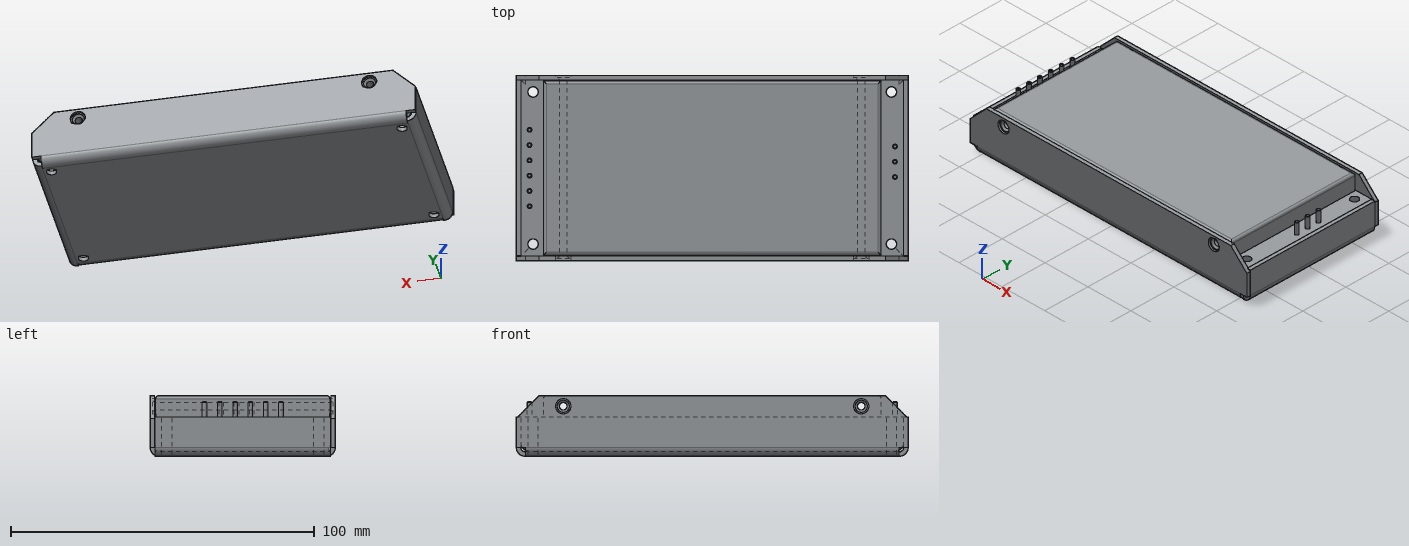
import cadquery as cq

LENGTH = 129.0
WIDTH = 61.0
HEIGHT = 20.0

SHEET = 1.5
BEND_OUTER_RADIUS = 3.0
BEND_INNER_RADIUS = BEND_OUTER_RADIUS - SHEET
END_WALL_HEIGHT = 13.0
CORNER_GAP = 0.06
SIDE_BEND_SETBACK = 3.1
SIDE_CORNER_CUT = 7.5

TOWER_LENGTH = 111.1
TOWER_WIDTH = 57.4
TOWER_EDGE_RADIUS = 1.0
MODULE_BOTTOM_RADIUS = BEND_OUTER_RADIUS
INNER_LENGTH = LENGTH - 2 * SHEET
INNER_WIDTH = WIDTH - 2 * SHEET

PIN_DIAMETER = 1.5
PIN_TIP_CHAMFER = 0.3
PIN_TOP = 18.0
PIN_PITCH = 5.0
PIN_X = 60.1
LEFT_PIN_COUNT = 6
RIGHT_PIN_COUNT = 3
RIGHT_PIN_CENTRE_Y = 2.0

MOUNT_DIAMETER = 3.4
MOUNT_SPACING_X = 117.9
MOUNT_SPACING_Y = 50.0

CROSS_SPACING_X = 98.0
CROSS_DEPTH = 3.5
CROSS_Z = HEIGHT - CROSS_DEPTH
CROSS_OPENING_DIAMETER = 5.0
CROSS_RECESS = 0.8
CROSS_DIAMETER = 2.5
CROSS_MOUTH_DIAMETER = 4.0
CROSS_CHAMFER = (CROSS_MOUTH_DIAMETER - CROSS_DIAMETER) / 2


def mounting_hole_cutters():
    return (
        cq.Workplane("XY")
        .rect(MOUNT_SPACING_X, MOUNT_SPACING_Y, forConstruction=True)
        .vertices()
        .circle(MOUNT_DIAMETER / 2)
        .extrude(HEIGHT)
    )


def cross_hole_cylinders(diameter, length):
    """Two cylinders along Y, centred on Y = 0."""
    return (
        cq.Workplane("XZ")
        .pushPoints([(-CROSS_SPACING_X / 2, CROSS_Z), (CROSS_SPACING_X / 2, CROSS_Z)])
        .circle(diameter / 2)
        .extrude(length / 2, both=True)
    )


def channel_profile(plane, span, height):
    """Closed U section of a bent sheet, centred on the vertical axis."""
    half = span / 2
    straight = half - BEND_OUTER_RADIUS
    inner = half - SHEET
    return (
        cq.Workplane(plane)
        .moveTo(-half, height)
        .lineTo(-half, BEND_OUTER_RADIUS)
        .radiusArc((-straight, 0), -BEND_OUTER_RADIUS)
        .lineTo(straight, 0)
        .radiusArc((half, BEND_OUTER_RADIUS), -BEND_OUTER_RADIUS)
        .lineTo(half, height)
        .lineTo(inner, height)
        .lineTo(inner, BEND_OUTER_RADIUS)
        .radiusArc((straight, SHEET), BEND_INNER_RADIUS)
        .lineTo(-straight, SHEET)
        .radiusArc((-inner, BEND_OUTER_RADIUS), BEND_INNER_RADIUS)
        .lineTo(-inner, height)
        .close()
    )


def side_wall_outline():
    """Region kept of the side channel: cut top corners, bends set back from the ends."""
    half = LENGTH / 2
    bend_half = half - SIDE_BEND_SETBACK
    return (
        cq.Workplane("XZ")
        .moveTo(-bend_half, 0)
        .lineTo(bend_half, 0)
        .lineTo(bend_half, BEND_OUTER_RADIUS)
        .lineTo(half, BEND_OUTER_RADIUS)
        .lineTo(half, HEIGHT - SIDE_CORNER_CUT)
        .lineTo(half - SIDE_CORNER_CUT, HEIGHT)
        .lineTo(-half + SIDE_CORNER_CUT, HEIGHT)
        .lineTo(-half, HEIGHT - SIDE_CORNER_CUT)
        .lineTo(-half, BEND_OUTER_RADIUS)
        .lineTo(-bend_half, BEND_OUTER_RADIUS)
        .close()
        .extrude(WIDTH / 2, both=True)
    )


def make_housing():
    """Sheet tray whose end walls stand between the side walls."""
    sides = channel_profile("YZ", WIDTH, HEIGHT).extrude(LENGTH / 2, both=True)
    sides = sides.intersect(side_wall_outline())
    end_length = INNER_WIDTH - 2 * CORNER_GAP
    ends = channel_profile("XZ", LENGTH, END_WALL_HEIGHT).extrude(end_length / 2, both=True)
    floor_width = WIDTH - 2 * BEND_OUTER_RADIUS
    side_bend_zone = (
        cq.Workplane("XY")
        .box(LENGTH - 2 * SIDE_BEND_SETBACK, WIDTH, SHEET, centered=(True, True, False))
        .cut(cq.Workplane("XY").box(LENGTH, floor_width, HEIGHT))
    )
    housing = sides.union(ends.cut(side_bend_zone))
    housing = housing.cut(mounting_hole_cutters())
    return housing.cut(cross_hole_cylinders(CROSS_OPENING_DIAMETER, WIDTH))


def pin_points():
    left = [
        (-PIN_X, (i - (LEFT_PIN_COUNT - 1) / 2) * PIN_PITCH) for i in range(LEFT_PIN_COUNT)
    ]
    right = [
        (PIN_X, RIGHT_PIN_CENTRE_Y + (i - (RIGHT_PIN_COUNT - 1) / 2) * PIN_PITCH)
        for i in range(RIGHT_PIN_COUNT)
    ]
    return left + right


def make_module():
    """Potted block with end shelves, raised tower, pins and cross-hole bosses."""
    base = (
        cq.Workplane("XY", origin=(0, 0, SHEET))
        .rect(INNER_LENGTH, INNER_WIDTH)
        .extrude(END_WALL_HEIGHT - SHEET)
        .edges("<Z")
        .fillet(MODULE_BOTTOM_RADIUS)
    )
    tower = (
        cq.Workplane("XY", origin=(0, 0, END_WALL_HEIGHT))
        .rect(TOWER_LENGTH, TOWER_WIDTH)
        .extrude(HEIGHT - END_WALL_HEIGHT)
        .edges(">Z")
        .fillet(TOWER_EDGE_RADIUS)
    )
    pins = (
        cq.Workplane("XY", origin=(0, 0, END_WALL_HEIGHT))
        .pushPoints(pin_points())
        .circle(PIN_DIAMETER / 2)
        .extrude(PIN_TOP - END_WALL_HEIGHT)
        .faces(">Z")
        .chamfer(PIN_TIP_CHAMFER)
    )
    bosses = cross_hole_cylinders(CROSS_OPENING_DIAMETER, WIDTH - 2 * CROSS_RECESS)
    module = base.union(tower).union(bosses).union(pins)
    module = module.cut(mounting_hole_cutters())
    module = module.cut(cross_hole_cylinders(CROSS_DIAMETER, WIDTH))
    mouths = module.faces("<Y or >Y").edges("%CIRCLE").edges(cq.selectors.RadiusNthSelector(0))
    return mouths.chamfer(CROSS_CHAMFER)


housing = make_housing()
module = make_module()
result = cq.Compound.makeCompound([housing.solids().val(), module.solids().val()])